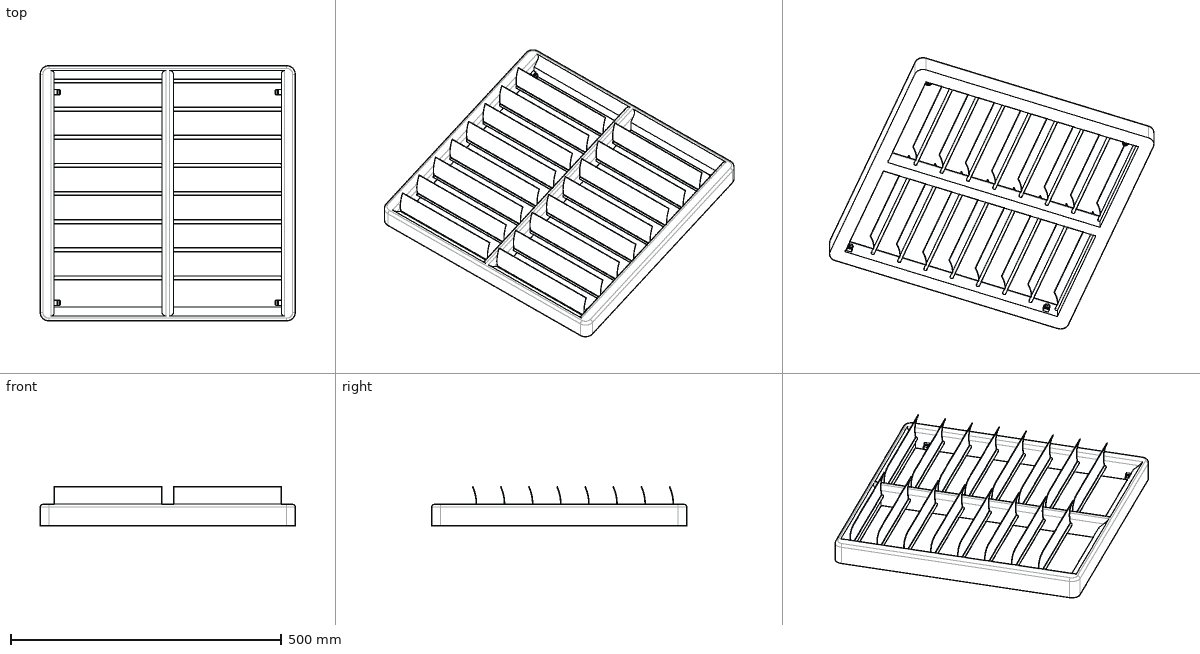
import cadquery as cq
import math

frame_size = 472.0
frame_height = 40.0
corner_radius = 16.0
top_edge_radius = 5.0

rail_width = 26.0
bar_width = 21.6
rail_rounding = 6.0
bar_rounding = 7.8
end_slope = 17.0
bay_inner_x = bar_width / 2
bay_outer_x = frame_size / 2 - rail_width
bay_half_length = frame_size / 2 - rail_width
bay_width = bay_outer_x - bay_inner_x

louvre_count = 8
louvre_pitch = 52.0
louvre_top = 72.4
louvre_radius = 80.0
louvre_thickness = 1.0
louvre_tip_angle = 24.0
louvre_root_angle = -14.0
first_louvre_y = 211.4
rod_diameter = 6.0

stud_rows_y = (187.0, -202.6)
stud_z = 10.0
stud_block_width = 10.0
stud_block_length = 5.6
stud_neck_diameter = 8.0
stud_neck_length = 1.9
stud_head_diameter = 10.0
stud_head_length = 4.2
stud_head_chamfer = 2.0


def make_frame():
    """Solid slab with rounded corners and a rounded top edge."""
    slab = cq.Workplane("XY").rect(frame_size, frame_size).extrude(frame_height)
    slab = slab.edges("|Z").fillet(corner_radius)
    return slab.faces(">Z").edges().fillet(top_edge_radius)


def make_bay():
    """Cutter for the +X bay: rounded along the rail and bar, sloped at 45 degrees at both ends."""
    arc_mid = 1 - math.sqrt(0.5)
    across = (
        cq.Workplane("XZ")
        .moveTo(bay_inner_x, 0)
        .lineTo(bay_inner_x, frame_height - bar_rounding)
        .threePointArc(
            (bay_inner_x - bar_rounding * arc_mid, frame_height - bar_rounding * arc_mid),
            (bay_inner_x - bar_rounding, frame_height),
        )
        .lineTo(bay_outer_x + rail_rounding, frame_height)
        .threePointArc(
            (bay_outer_x + rail_rounding * arc_mid, frame_height - rail_rounding * arc_mid),
            (bay_outer_x, frame_height - rail_rounding),
        )
        .lineTo(bay_outer_x, 0)
        .close()
        .extrude(frame_size / 2, both=True)
    )
    lip = bay_half_length + end_slope
    slope_base = frame_height - end_slope
    along = (
        cq.Workplane("YZ")
        .polyline([
            (-bay_half_length, 0),
            (-bay_half_length, slope_base),
            (-lip, frame_height),
            (lip, frame_height),
            (bay_half_length, slope_base),
            (bay_half_length, 0),
        ])
        .close()
        .extrude(frame_size / 2)
    )
    return across.intersect(along)


def make_louvre(crest_y):
    """Curved blade of the +X bay, upright at crest_y, with a round rod along its root."""
    centre_y = crest_y - louvre_radius
    centre_z = louvre_top - louvre_radius * math.sin(math.radians(louvre_tip_angle))

    def arc_point(radius, angle):
        turn = math.radians(angle)
        return (centre_y + radius * math.cos(turn), centre_z + radius * math.sin(turn))

    middle_angle = (louvre_tip_angle + louvre_root_angle) / 2
    inner_radius = louvre_radius - louvre_thickness
    blade = (
        cq.Workplane("YZ")
        .moveTo(*arc_point(louvre_radius, louvre_root_angle))
        .threePointArc(
            arc_point(louvre_radius, middle_angle),
            arc_point(louvre_radius, louvre_tip_angle),
        )
        .lineTo(*arc_point(inner_radius, louvre_tip_angle))
        .threePointArc(
            arc_point(inner_radius, middle_angle),
            arc_point(inner_radius, louvre_root_angle),
        )
        .close()
        .extrude(bay_width)
    )
    root_y, root_z = arc_point(louvre_radius - louvre_thickness / 2, louvre_root_angle)
    rod = (
        cq.Workplane("YZ")
        .center(root_y, root_z)
        .circle(rod_diameter / 2)
        .extrude(bay_width)
    )
    return blade.union(rod).translate((bay_inner_x, 0, 0))


def make_stud(row_y):
    """Stud on the +X rail: square block, round neck and chamfered round head."""
    block = cq.Workplane("YZ").rect(stud_block_width, stud_block_width).extrude(-stud_block_length)
    neck = block.faces("<X").workplane().circle(stud_neck_diameter / 2).extrude(stud_neck_length)
    head = (
        cq.Workplane("YZ", origin=(-stud_block_length - stud_neck_length, 0, 0))
        .circle(stud_head_diameter / 2)
        .extrude(-stud_head_length)
        .faces("<X")
        .chamfer(stud_head_chamfer)
    )
    return neck.union(head).translate((bay_outer_x, row_y, stud_z))


def add_mirrored(body, feature):
    """Add a +X side feature and its mirror image on the -X side."""
    return body.union(feature).union(feature.mirror("YZ"))


bay = make_bay()
result = make_frame().cut(bay).cut(bay.mirror("YZ"))
for index in range(louvre_count):
    result = add_mirrored(result, make_louvre(first_louvre_y - index * louvre_pitch))
for row_y in stud_rows_y:
    result = add_mirrored(result, make_stud(row_y))